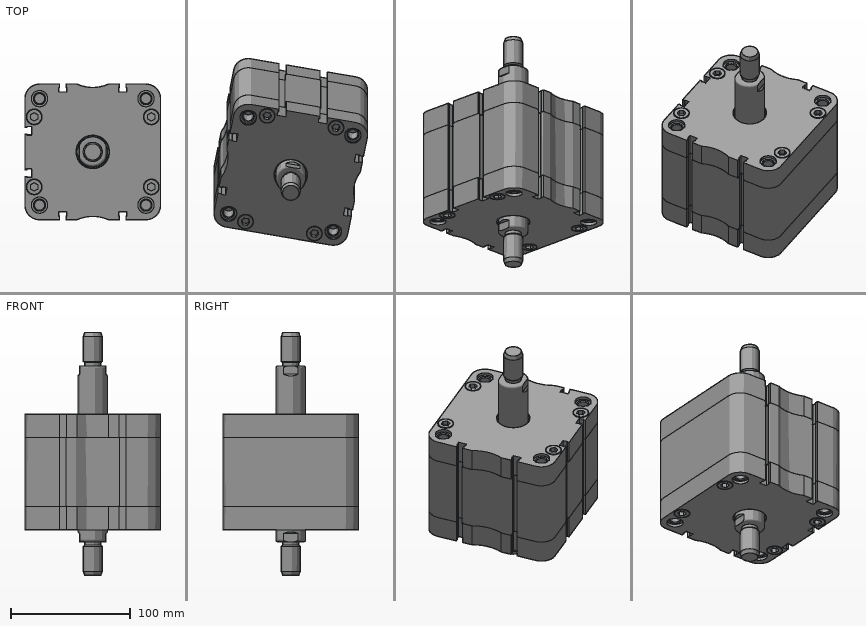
import cadquery as cq
import math

side = 113.5
half_side = side / 2
corner_radius = 12.4
housing_height = 96.6
cap_height = 19.5
barrel_height = housing_height - 2 * cap_height

slot_lip_overhang = 0.6
front_slot_inner = 22.0
front_slot_outer = 27.6
front_slot_depth = 6.7
front_slot_lip = 3.0
side_slot_inner = 14.5
side_slot_outer = 20.5
side_slot_depth = 5.7
side_slot_lip = 1.8
barrel_slot_inset = 0.6

hollow_half_width = 13.2
hollow_depth = 2.8
barrel_hollow_extra = 0.5
barrel_edge_fillet = 0.6

mount_offset = 44.5
mount_recess_diameter = 13.5
mount_recess_depth = 2.5
mount_diameter = 8.5
mount_chamfer_diameter = 10.2
mount_depth = 16.0

screw_x = 49.0
screw_y = 29.2
screw_head_diameter = 13.2
screw_head_chamfer = 0.5
hex_across_flats = 6.0
hex_depth = 4.0

rod_recess_diameter = 27.0
rod_recess_chamfer_diameter = 28.0
rod_recess_depth = 4.0

rod_diameter = 25.0
rod_bottom = -38.2
rod_length = 203.0
thread_diameter = 16.0
thread_end_diameter = 13.5
thread_end_length = 3.5
neck_diameter = 13.5
neck_length = 3.9
stud_length = 28.0
shoulder_fillet = 1.8
flats_width = 22.0
flats_length = 7.0


def centred_hole(diameter, depth, top):
    return cq.Workplane("XY").workplane(offset=top - depth).circle(diameter / 2).extrude(depth)


def countersink(large_diameter, small_diameter, top):
    """45 degree cone that narrows downward from the level `top`."""
    depth = (large_diameter - small_diameter) / 2
    return cq.Workplane(cq.Solid.makeCone(
        small_diameter / 2, large_diameter / 2, depth, pnt=cq.Vector(0, 0, top - depth)))


def t_slot(inner, outer, depth, lip, height):
    """T-slot cutter open toward -Y at y = 0, between x = inner and x = outer."""
    neck = cq.Workplane("XY").box(outer - inner, depth, height, centered=False).translate((inner, 0, 0))
    wide_width = outer - inner + 2 * slot_lip_overhang
    wide = (
        cq.Workplane("XY")
        .box(wide_width, depth - lip, height, centered=False)
        .translate((inner - slot_lip_overhang, lip, 0))
    )
    return neck.union(wide)


def hollow(half_width, height):
    """Cutter for the shallow hollow, bulging from y = 0 to y = hollow_depth."""
    return (
        cq.Workplane("XY")
        .moveTo(-half_width, 0)
        .threePointArc((0, hollow_depth), (half_width, 0))
        .close()
        .extrude(height)
    )


def housing_section(height, slot_inset, hollow_extra):
    """Rounded square block, standing on z = 0, with the T-slots and hollows along its full height."""
    block = (
        cq.Workplane("XY").rect(side, side).extrude(height).edges("|Z").fillet(corner_radius)
    )
    front_slot = t_slot(
        front_slot_inner + slot_inset, front_slot_outer, front_slot_depth, front_slot_lip, height)
    side_slot = t_slot(
        side_slot_inner + slot_inset, side_slot_outer, side_slot_depth, side_slot_lip, height)
    front_cut = front_slot.union(front_slot.mirror("YZ")).union(
        hollow(hollow_half_width + hollow_extra, height))
    front_cut = front_cut.translate((0, -half_side, 0))
    side_cut = side_slot.union(side_slot.mirror("YZ")).translate((0, -half_side, 0))
    side_cut = side_cut.rotate((0, 0, 0), (0, 0, 1), -90)
    return block.cut(front_cut).cut(front_cut.mirror("XZ")).cut(side_cut)


def mounting_hole():
    """Recessed, countersunk blind hole that enters the cap's outer face."""
    floor = cap_height - mount_recess_depth
    return (
        centred_hole(mount_recess_diameter, mount_recess_depth, cap_height)
        .union(countersink(mount_chamfer_diameter, mount_diameter, floor))
        .union(centred_hole(mount_diameter, mount_depth, cap_height))
    )


def screw_head_cut():
    """V-groove left by the chamfered rim of a flush screw head, with the head's hexagon socket."""
    rim_radius = screw_head_diameter / 2
    groove = (
        cq.Workplane("XZ")
        .moveTo(rim_radius - screw_head_chamfer, cap_height)
        .lineTo(rim_radius, cap_height)
        .lineTo(rim_radius, cap_height - screw_head_chamfer)
        .close()
        .revolve(360, (0, 0), (0, 1))
    )
    across_corners = hex_across_flats / math.cos(math.pi / 6)
    socket = (
        cq.Workplane("XY").workplane(offset=cap_height - hex_depth)
        .polygon(6, across_corners)
        .extrude(hex_depth)
        .rotate((0, 0, 0), (0, 0, 1), 90)
    )
    return groove.union(socket)


def make_cap():
    """End cap with its inner face on z = 0 and its outer face on z = cap_height."""
    cap = housing_section(cap_height, 0, 0)
    cap = cap.cut(centred_hole(rod_diameter, cap_height, cap_height))
    cap = cap.cut(centred_hole(rod_recess_diameter, rod_recess_depth, cap_height))
    cap = cap.cut(countersink(rod_recess_chamfer_diameter, rod_recess_diameter, cap_height))
    for x_sign in (-1, 1):
        for y_sign in (-1, 1):
            cap = cap.cut(mounting_hole().translate((x_sign * mount_offset, y_sign * mount_offset, 0)))
            cap = cap.cut(screw_head_cut().translate((x_sign * screw_x, y_sign * screw_y, 0)))
    return cap


def make_barrel():
    """Middle section, with rounded edges along the hollows and the inner walls of the slots."""
    barrel = housing_section(barrel_height, barrel_slot_inset, barrel_hollow_extra)
    rounded_edges = [(-half_side, y_sign * (side_slot_inner + barrel_slot_inset)) for y_sign in (-1, 1)]
    for x in (front_slot_inner + barrel_slot_inset, hollow_half_width + barrel_hollow_extra):
        for x_sign in (-1, 1):
            for y_sign in (-1, 1):
                rounded_edges.append((x_sign * x, y_sign * half_side))
    for x, y in rounded_edges:
        edge_middle = cq.selectors.NearestToPointSelector((x, y, barrel_height / 2))
        barrel = barrel.edges(edge_middle).fillet(barrel_edge_fillet)
    return barrel.cut(centred_hole(rod_diameter, barrel_height, barrel_height))


def rod_stud(shoulder):
    """Threaded stud that rises from the level `shoulder`, with a neck at its root."""
    tip = shoulder + stud_length
    neck_cone = (thread_diameter - neck_diameter) / 2
    return (
        cq.Workplane("XZ")
        .moveTo(0, shoulder)
        .lineTo(neck_diameter / 2, shoulder)
        .lineTo(neck_diameter / 2, shoulder + neck_length - neck_cone)
        .lineTo(thread_diameter / 2, shoulder + neck_length)
        .lineTo(thread_diameter / 2, tip - thread_end_length)
        .lineTo(thread_end_diameter / 2, tip)
        .lineTo(0, tip)
        .close()
        .revolve(360, (0, 0), (0, 1))
    )


def wrench_flat(shoulder):
    """Cutter for one wrench flat on the +X side below `shoulder`, with a 45 degree runout."""
    reach = rod_diameter - flats_width
    return (
        cq.Workplane("XZ")
        .moveTo(flats_width / 2, shoulder)
        .lineTo(flats_width / 2, shoulder - flats_length)
        .lineTo(flats_width / 2 + reach, shoulder - flats_length - reach)
        .lineTo(flats_width / 2 + reach, shoulder)
        .close()
        .extrude(rod_diameter / 2, both=True)
    )


def make_rod():
    half_length = rod_length / 2
    shoulder = half_length - stud_length
    shank = (
        cq.Workplane("XY").circle(rod_diameter / 2).extrude(shoulder, both=True)
        .faces("<Z or >Z").edges().fillet(shoulder_fillet)
    )
    flat = wrench_flat(shoulder)
    flats = flat.union(flat.mirror("YZ"))
    stud = rod_stud(shoulder)
    rod = shank.cut(flats).cut(flats.mirror("XY")).union(stud).union(stud.mirror("XY"))
    return rod.translate((0, 0, rod_bottom + half_length))


upper_cap = make_cap().translate((0, 0, housing_height - cap_height))
lower_cap = make_cap().mirror("XY").translate((0, 0, cap_height))
barrel = make_barrel().translate((0, 0, cap_height))
rod = make_rod()

result = cq.Compound.makeCompound([upper_cap.val(), lower_cap.val(), barrel.val(), rod.val()])